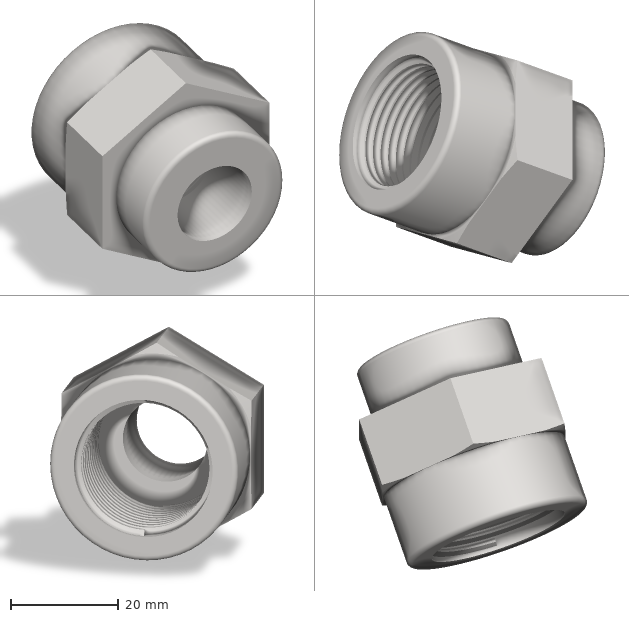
import cadquery as cq
import math

total_length = 38.3
hex_start = 13.85
hex_end = 27.5

socket_diameter = 35.63
spigot_diameter = 30.0
hex_corner_diameter = 41.55
edge_radius = 1.0
hex_face_diameter = 37.65
hex_chamfer_angle = 15

through_diameter = 16.0
thread_major_diameter = 26.3
thread_minor_diameter = 24.15
thread_pitch = 1.83
thread_start = 1.5
thread_turns = 11
ridge_root_width = 1.75
ridge_crest_width = 0.37
ridge_embedding = 0.2
thread_length = thread_turns * thread_pitch
socket_depth = thread_start + thread_length + thread_pitch


def cylinder(diameter, start, end):
    """Solid cylinder on the X axis."""
    return cq.Workplane("YZ", origin=(start, 0, 0)).circle(diameter / 2).extrude(end - start)


def make_hexagon():
    """Hexagon with corners on the Z axis and a conical chamfer on its socket side."""
    prism = (
        cq.Workplane("YZ", origin=(hex_start, 0, 0))
        .transformed(rotate=(0, 0, 90))
        .polygon(6, hex_corner_diameter)
        .extrude(hex_end - hex_start)
    )
    face_radius = hex_face_diameter / 2
    corner_radius = hex_corner_diameter / 2
    chamfer_depth = (corner_radius - face_radius) * math.tan(math.radians(hex_chamfer_angle))
    envelope = (
        cq.Workplane("XY")
        .moveTo(hex_start, 0)
        .lineTo(hex_start, face_radius)
        .lineTo(hex_start + chamfer_depth, corner_radius)
        .lineTo(hex_end, corner_radius)
        .lineTo(hex_end, 0)
        .close()
        .revolve(360, (0, 0, 0), (1, 0, 0))
    )
    return prism.intersect(envelope)


def make_thread():
    """Right-handed ridge wound about the X axis, starting at the bottom of the bore."""
    crest_radius = thread_minor_diameter / 2
    wall_radius = thread_major_diameter / 2
    root_radius = wall_radius + ridge_embedding
    helix = cq.Wire.makeHelix(thread_pitch, thread_length, wall_radius)
    ridge = (
        cq.Workplane("XZ")
        .moveTo(crest_radius, -ridge_crest_width / 2)
        .lineTo(root_radius, -ridge_root_width / 2)
        .lineTo(root_radius, ridge_root_width / 2)
        .lineTo(crest_radius, ridge_crest_width / 2)
        .close()
        .sweep(cq.Workplane(obj=helix), isFrenet=True)
    )
    return ridge.rotate((0, 0, 0), (0, 1, 0), 90).translate((thread_start, 0, 0))


socket = cylinder(socket_diameter, 0, hex_end).faces("<X").edges().fillet(edge_radius)
spigot = cylinder(spigot_diameter, hex_start, total_length).faces(">X").edges().fillet(edge_radius)
body = socket.union(make_hexagon()).union(spigot)

body = body.cut(cylinder(through_diameter, 0, total_length))
body = body.cut(cylinder(thread_major_diameter, 0, socket_depth))
result = body.union(make_thread())